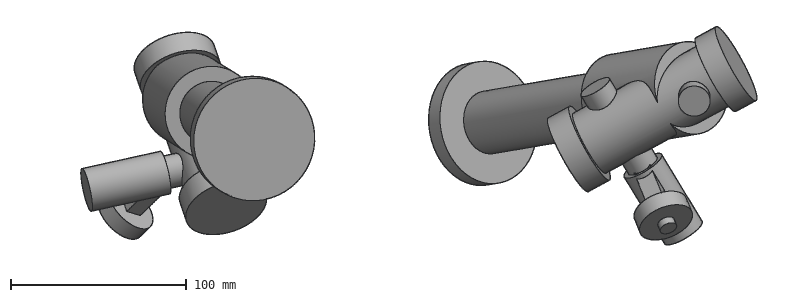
import cadquery as cq
import math

overall_depth = 108.2

pipe_length = 110.0
pipe_diameter = 39.0
flange_diameter = 47.8
left_flange_thickness = 13.3
right_flange_thickness = 14.0

branch_x = 29.3
branch_angle = math.radians(45)
branch_length = 198.7
sleeve_diameter = 53.0
sleeve_length = 68.0
stem_diameter = 36.0
head_diameter = 70.0
head_thickness = 10.6

drain_x = 27.5
drain_diameter = 18.0
drain_reach = 26.0

cross_x = 76.5
boss_diameter = 19.0
boss_reach = 27.7
handle_diameter = 25.0
handle_start = 26.8
handle_reach = overall_depth - head_diameter / 2

arm_angle = math.radians(40)
arm_start_y = -26.0
arm_width = 10.5
arm_length = 32.5
cap_diameter = 31.8
cap_thickness = 10.0
pin_diameter = 10.0
pin_length = 4.4


def frame(origin, direction):
    """Workplane at origin whose normal is the given direction in the XZ or YZ plane."""
    side = (0, 1, 0) if direction[1] == 0 else (1, 0, 0)
    return cq.Workplane(cq.Plane(origin=origin, xDir=side, normal=direction))


def rod(origin, direction, diameter, start, end):
    """Cylinder between two distances from origin along direction."""
    plane = frame(origin, direction).workplane(offset=start)
    return plane.circle(diameter / 2).extrude(end - start)


def main_pipe():
    origin, along_x = (0, 0, 0), (1, 0, 0)
    pipe = rod(origin, along_x, pipe_diameter, 0, pipe_length)
    left = rod(origin, along_x, flange_diameter, 0, left_flange_thickness)
    right = rod(origin, along_x, flange_diameter, pipe_length - right_flange_thickness, pipe_length)
    return pipe.union(left).union(right)


def branch():
    origin = (branch_x, 0, 0)
    axis = (math.cos(branch_angle), 0, math.sin(branch_angle))
    sleeve = rod(origin, axis, sleeve_diameter, 0, sleeve_length)
    stem = rod(origin, axis, stem_diameter, 0, branch_length)
    head = rod(origin, axis, head_diameter, branch_length - head_thickness, branch_length)
    return sleeve.union(stem).union(head)


def drain():
    return rod((drain_x, 0, 0), (0, 0, -1), drain_diameter, 0, drain_reach)


def cross_fitting():
    origin = (cross_x, 0, 0)
    boss = rod(origin, (0, -1, 0), boss_diameter, -boss_reach, handle_start)
    handle = rod(origin, (0, -1, 0), handle_diameter, handle_start, handle_reach)
    return boss.union(handle)


def hanging_cap():
    origin = (cross_x, arm_start_y, 0)
    axis = (0, -math.sin(arm_angle), -math.cos(arm_angle))
    cap_end = arm_length + cap_thickness
    arm = frame(origin, axis).rect(arm_width, arm_width).extrude(arm_length)
    cap = rod(origin, axis, cap_diameter, arm_length, cap_end)
    pin = rod(origin, axis, pin_diameter, cap_end, cap_end + pin_length)
    return arm.union(cap).union(pin)


result = main_pipe().union(branch()).union(drain()).union(cross_fitting()).union(hanging_cap())